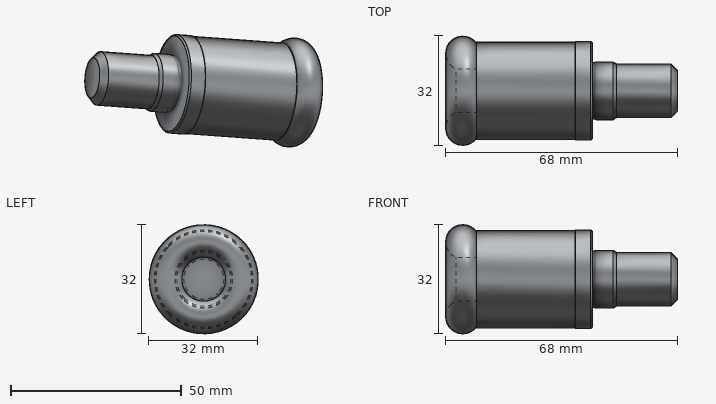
import cadquery as cq
import math

overall_length = 68.0
ring_tube_radius = 5.0
ring_outer_radius = 16.0
sleeve_radius = 28.6 / 2

land_radius = 29.0 / 2
land_start = 38.0
land_end = 43.0
land_front_chamfer = land_radius - sleeve_radius
land_rear_chamfer = 0.5

neck_radius = 16.6 / 2
neck_fillet = 0.2
neck_end = 43.5
collar_radius = 17.0 / 2
collar_start = 44.2
collar_end = 49.0

stud_radius = 15.75 / 2
stud_start = 50.0
stud_tip_chamfer = 2.0

ring_centre_radius = ring_outer_radius - ring_tube_radius

nose_start = 3.0
seat_x = 9.0


def ring_offset(x):
    """Radial distance from the tube centre to the tube surface at position x."""
    return math.sqrt(ring_tube_radius**2 - (x - ring_tube_radius) ** 2)


nose_radius = ring_centre_radius - ring_offset(nose_start)
seat_radius = ring_centre_radius + ring_offset(seat_x)


def revolve_about_x(profile):
    return profile.close().revolve(360, (0, 0, 0), (1, 0, 0))


def make_bumper_ring():
    """Doughnut-shaped bumper with a straight bore, fitted over the nose of the body."""
    profile = (
        cq.Workplane("XY")
        .moveTo(nose_start, nose_radius)
        .threePointArc((0, ring_centre_radius), (seat_x, seat_radius))
        .lineTo(seat_x, nose_radius)
    )
    return revolve_about_x(profile)


def make_body():
    """Turned body: nose, sleeve, locating land, undercut neck, collar and stud."""
    fillet_middle = neck_fillet * (1 - math.sqrt(0.5))
    profile = (
        cq.Workplane("XY")
        .moveTo(nose_start, 0)
        .lineTo(nose_start, nose_radius)
        .lineTo(seat_x, nose_radius)
        .lineTo(seat_x, sleeve_radius)
        .lineTo(land_start - land_front_chamfer / 2, sleeve_radius)
        .lineTo(land_start + land_front_chamfer / 2, land_radius)
        .lineTo(land_end - land_rear_chamfer, land_radius)
        .lineTo(land_end, land_radius - land_rear_chamfer)
        .lineTo(land_end, neck_radius + neck_fillet)
        .threePointArc(
            (land_end + fillet_middle, neck_radius + fillet_middle),
            (land_end + neck_fillet, neck_radius),
        )
        .lineTo(neck_end, neck_radius)
        .lineTo(collar_start, collar_radius)
        .lineTo(collar_end, collar_radius)
        .lineTo(stud_start, stud_radius)
        .lineTo(overall_length - stud_tip_chamfer, stud_radius)
        .lineTo(overall_length, stud_radius - stud_tip_chamfer)
        .lineTo(overall_length, 0)
    )
    return revolve_about_x(profile)


bumper_ring = make_bumper_ring()
body = make_body()

result = cq.Compound.makeCompound([bumper_ring.val(), body.val()])